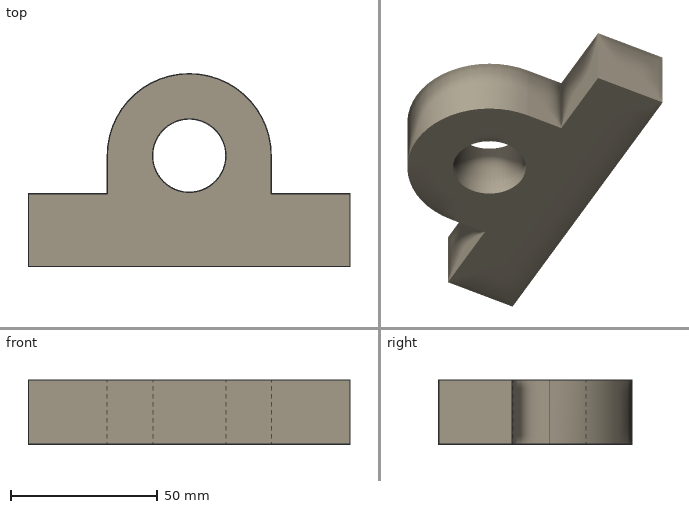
import cadquery as cq

base_length = 110.0
base_depth = 25.0
thickness = 22.0
total_depth = 66.0
lug_radius = 28.0
hole_diameter = 25.0

hole_center_y = total_depth - lug_radius


def make_base():
    """Rectangular bar with its front face on Y = 0, centred on X."""
    return cq.Workplane("XY").box(
        base_length, base_depth, thickness, centered=(True, False, False)
    )


def make_lug():
    """Straight-sided lug with a semicircular end, starting at the bar's front face."""
    return (
        cq.Workplane("XY")
        .moveTo(-lug_radius, 0)
        .lineTo(lug_radius, 0)
        .lineTo(lug_radius, hole_center_y)
        .threePointArc((0, total_depth), (-lug_radius, hole_center_y))
        .close()
        .extrude(thickness)
    )


def make_hole():
    """Cylinder that cuts the through hole in the lug."""
    return (
        cq.Workplane("XY")
        .center(0, hole_center_y)
        .circle(hole_diameter / 2)
        .extrude(thickness)
    )


result = make_base().union(make_lug()).cut(make_hole())